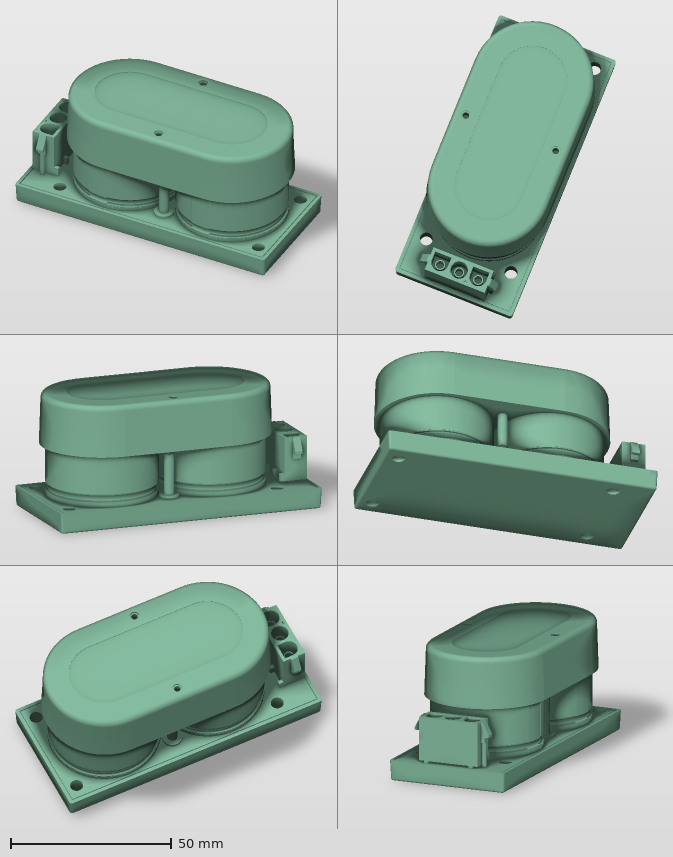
import cadquery as cq
base_length = 87.6
base_width = 39.35
base_height = 6.5
base_draft = 2.5
base_corner_radius = 0.8
base_bottom_radius = 0.7
rim_width = 1.05
rim_gap = 0.35
rim_gap_depth = 0.35
mount_hole_diameter = 4.0
mount_hole_spacing_x = 69.75
mount_hole_spacing_y = 28.5
mount_hole_center_x = 4.1

total_height = 39.35
body_center_x = 4.4
can_spacing = 35.9
cap_width = base_width
cap_bottom_z = 23.05
cap_draft = 2.0
cap_edge_radius = 1.75
panel_width = 22.1
panel_depth = 0.2
screw_offset_y = 15.1
screw_recess_diameter = 3.0
screw_recess_depth = 0.4
screw_hole_diameter = 2.0
screw_hole_depth = 4.4

sleeve_radius = 17.8
sleeve_thickness = 0.1
sleeve_setback = 0.3
sleeve_overlap = 0.4
can_radius = sleeve_radius - sleeve_thickness
groove_center_z = 9.4
groove_radius = 1.05
step_depth = 0.7
step_height = 2.6
seam_center_angle = -97.5
seam_half_angle = 11.0

standoff_offset_y = 11.5
standoff_diameter = 3.15
flange_diameter = 6.3
flange_height = 0.8

connector_center_x = -38.7
connector_width = 7.5
connector_length = 20.15
connector_bottom_z = 7.3
connector_top_z = 21.2
socket_pitch = 6.4
socket_radius = 2.7
socket_depth = 7.9
contact_diameter = 3.15
contact_bore_diameter = 2.45
contact_height = 3.9
tab_length = 1.4
tab_width = 1.2
tab_top_z = 9.7
tab_inner_y = 3.2
foot_depth = 0.8
foot_width = 1.4
foot_offset_y = 7.6
lead_diameter = 1.05
latch_width = 2.45
latch_ledge_reach = 0.4
latch_tip_reach = 2.6
latch_foot_reach = 1.2
latch_slope_end_z = 17.1
latch_barb_z = 16.2
latch_bottom_z = 14.5
post_diameter = 1.6
post_offset_y = 10.6
mark_inset = 1.0
mark_center_y = -3.15
mark_width = 1.3
mark_length = 0.5
mark_depth = 0.9

connector_left_x = connector_center_x - connector_width / 2
connector_right_x = connector_center_x + connector_width / 2
connector_end_y = connector_length / 2
can_centers_x = [body_center_x - can_spacing / 2, body_center_x + can_spacing / 2]


def at_height(z):
    return cq.Workplane("XY", origin=(0, 0, z))


def box_between(x0, x1, y0, y1, z0, z1):
    box = cq.Workplane("XY").box(x1 - x0, y1 - y0, z1 - z0, centered=False)
    return box.translate((x0, y0, z0))


def cylinder(x, y, z0, z1, diameter):
    return at_height(z0).center(x, y).circle(diameter / 2).extrude(z1 - z0)


def make_base():
    """Drafted tray, wider at the top, with a narrow gap between rim and board."""
    base = at_height(base_height).rect(base_length, base_width).extrude(-base_height, taper=base_draft)
    base = base.edges("not(#Z)").fillet(base_corner_radius)
    base = base.faces("<Z").edges().fillet(base_bottom_radius)
    gap_outer_length = base_length - 2 * rim_width
    gap_outer_width = base_width - 2 * rim_width
    gap = (
        at_height(base_height)
        .rect(gap_outer_length, gap_outer_width)
        .rect(gap_outer_length - 2 * rim_gap, gap_outer_width - 2 * rim_gap)
        .extrude(-rim_gap_depth)
    )
    mount_holes = (
        cq.Workplane("XY")
        .center(mount_hole_center_x, 0)
        .rect(mount_hole_spacing_x, mount_hole_spacing_y, forConstruction=True)
        .vertices()
        .circle(mount_hole_diameter / 2)
        .extrude(base_height)
    )
    return base.cut(gap).cut(mount_holes)


def partial_ring(outer_radius, thickness, z0, z1):
    """Ring around the Z axis that is left open across the sleeve seam."""
    sweep = 360 - 2 * seam_half_angle
    ring = (
        cq.Workplane("XZ")
        .moveTo(outer_radius - thickness, z0)
        .lineTo(outer_radius, z0)
        .lineTo(outer_radius, z1)
        .lineTo(outer_radius - thickness, z1)
        .close()
        .revolve(sweep, (0, 0), (0, 1))
    )
    return ring.rotate((0, 0, 0), (0, 0, 1), seam_center_angle + seam_half_angle)


def make_can(center_x):
    """Capacitor can in a thin open sleeve, with a rolled groove inside a shallow step."""
    step_bottom_z = groove_center_z - step_height / 2
    step_top_z = groove_center_z + step_height / 2
    can = cylinder(0, 0, base_height, cap_bottom_z, 2 * can_radius)
    groove = (
        cq.Workplane("XZ")
        .center(can_radius, groove_center_z)
        .circle(groove_radius)
        .revolve(360, (-can_radius, 0), (-can_radius, 1))
    )
    can = can.cut(groove).cut(partial_ring(can_radius, step_depth, step_bottom_z, step_top_z))
    sleeve_bands = (
        (base_height + sleeve_setback, step_bottom_z - sleeve_setback),
        (step_top_z + sleeve_setback, cap_bottom_z),
    )
    for z0, z1 in sleeve_bands:
        can = can.union(partial_ring(sleeve_radius, sleeve_thickness + sleeve_overlap, z0, z1))
    return can.translate((center_x, 0, 0))


def make_cap():
    """Drafted oblong cap with a rounded top edge and a shallow oblong panel."""
    cap = (
        at_height(cap_bottom_z)
        .center(body_center_x, 0)
        .slot2D(can_spacing + cap_width, cap_width)
        .extrude(total_height - cap_bottom_z, taper=cap_draft)
    )
    cap = cap.faces(">Z").edges().fillet(cap_edge_radius)
    panel = (
        at_height(total_height)
        .center(body_center_x, 0)
        .slot2D(can_spacing + panel_width, panel_width)
        .extrude(-panel_depth)
    )
    cap = cap.cut(panel)
    recess_floor = total_height - screw_recess_depth
    hole_floor = total_height - screw_hole_depth
    for side in (-1, 1):
        y = side * screw_offset_y
        cap = cap.cut(cylinder(body_center_x, y, recess_floor, total_height, screw_recess_diameter))
        cap = cap.cut(cylinder(body_center_x, y, hole_floor, total_height, screw_hole_diameter))
    return cap


def make_standoff(side):
    """Post under the cap with a flanged foot on the base."""
    y = side * standoff_offset_y
    post = cylinder(body_center_x, y, base_height, cap_bottom_z, standoff_diameter)
    flange = cylinder(body_center_x, y, base_height, base_height + flange_height, flange_diameter)
    return post.union(flange)


def make_latch(side):
    """Barbed latch on one end of the connector."""
    profile = [
        (connector_end_y, connector_top_z),
        (connector_end_y + latch_ledge_reach, connector_top_z),
        (connector_end_y + latch_tip_reach, latch_slope_end_z),
        (connector_end_y + latch_tip_reach, latch_barb_z),
        (connector_end_y + latch_foot_reach, latch_barb_z),
        (connector_end_y + latch_foot_reach, latch_bottom_z),
        (connector_end_y, latch_bottom_z),
    ]
    return (
        cq.Workplane("YZ", origin=(connector_center_x, 0, 0))
        .polyline([(side * y, z) for y, z in profile])
        .close()
        .extrude(latch_width / 2, both=True)
    )


def make_socket(y, squared):
    """Socket cavity around a tubular contact; squared sockets have flat corners on +X."""
    floor_z = connector_top_z - socket_depth
    socket = cylinder(connector_center_x, y, floor_z, connector_top_z, 2 * socket_radius)
    if squared:
        socket = socket.union(
            box_between(
                connector_center_x,
                connector_center_x + socket_radius,
                y - socket_radius,
                y + socket_radius,
                floor_z,
                connector_top_z,
            )
        )
    contact_top_z = floor_z + contact_height
    contact = cylinder(connector_center_x, y, floor_z, contact_top_z, contact_diameter)
    contact = contact.cut(cylinder(connector_center_x, y, floor_z, contact_top_z, contact_bore_diameter))
    return socket.cut(contact)


def make_tab(center_y):
    """Small ledge at the foot of the +X face of the connector."""
    return box_between(
        connector_right_x,
        connector_right_x + tab_length,
        center_y - tab_width / 2,
        center_y + tab_width / 2,
        connector_bottom_z,
        tab_top_z,
    )


def make_foot(left_x, center_y):
    """Spacer that lifts the connector off the base."""
    return box_between(
        left_x,
        left_x + foot_depth,
        center_y - foot_width / 2,
        center_y + foot_width / 2,
        base_height,
        connector_bottom_z,
    )


def make_mark():
    """Triangular notch in the connector's top face."""
    mark_x = connector_left_x + mark_inset
    return (
        at_height(connector_top_z)
        .moveTo(mark_x, mark_center_y - mark_width / 2)
        .lineTo(mark_x + mark_length, mark_center_y)
        .lineTo(mark_x, mark_center_y + mark_width / 2)
        .close()
        .extrude(-mark_depth)
    )


def make_connector():
    """Housing with sockets, leads, feet, tabs, two end latches and a locating post."""
    connector = box_between(
        connector_left_x,
        connector_right_x,
        -connector_end_y,
        connector_end_y,
        connector_bottom_z,
        connector_top_z,
    )
    tab_outer_y = connector_end_y - tab_width / 2
    for y in (-tab_outer_y, -tab_inner_y, tab_inner_y, tab_outer_y):
        connector = connector.union(make_tab(y))
    for x in (connector_left_x, connector_right_x - foot_depth):
        for y in (-foot_offset_y, foot_offset_y):
            connector = connector.union(make_foot(x, y))
    for position in (-1, 0, 1):
        y = position * socket_pitch
        lead = cylinder(connector_center_x, y, base_height, connector_bottom_z, lead_diameter)
        connector = connector.cut(make_socket(y, squared=position != 0)).union(lead)
    for side in (-1, 1):
        connector = connector.union(make_latch(side))
    post = cylinder(connector_center_x, -post_offset_y, base_height, latch_bottom_z, post_diameter)
    return connector.cut(make_mark()).union(post)


result = make_base().union(make_cap())
for can_x in can_centers_x:
    result = result.union(make_can(can_x))
for standoff_side in (-1, 1):
    result = result.union(make_standoff(standoff_side))
result = result.union(make_connector())